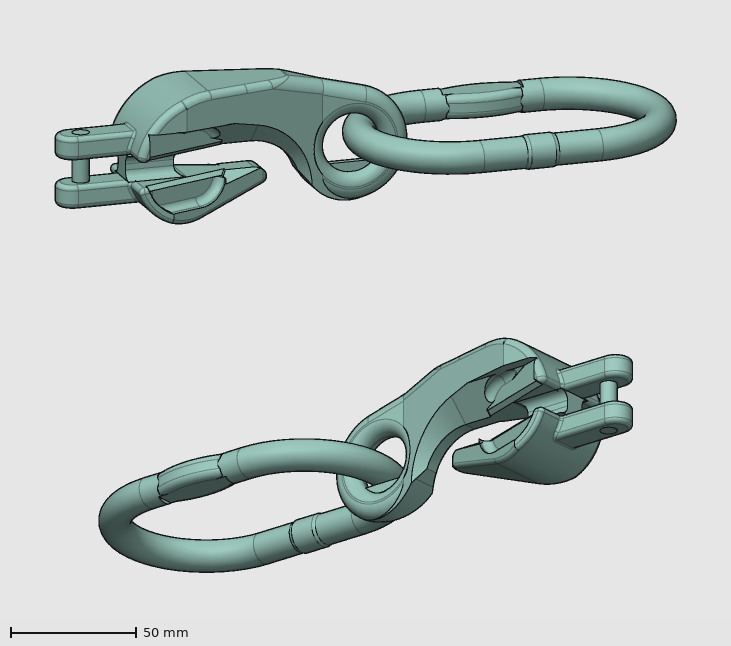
import cadquery as cq
import math

link_bar = 13.0
link_inner_width = 60.0
link_inner_length = 110.0
link_end_radius = (link_inner_width + link_bar) / 2
link_half_straight = (link_inner_length - link_inner_width) / 2
collar_diameter = 13.97
collar_length = 10.3
collar_taper_length = 1.5
tag_half_width = 9.065
tag_half_height = 5.1
tag_half_length = 17.0
tag_end_y = 16.0
tag_swell_half_length = 15.0
tag_edge_fillet = 3.1

eye_y = -67.0
eye_radius = 23.5
eye_hole_radius = 12.1
eye_thickness = 11.4
eye_fillet = 5.3
eye_foot_angle = math.radians(-146.5)
eye_web_top = -8.0
eye_web_thickness = 3.0

hook_width = 39.0
taper_start_y = -80.5
taper_end_y = -142.4
back_y = -163.3
hook_top = 31.49
top_slope = math.radians(14.5)
crown_center_y = -131.8
crown_radius = crown_center_y - back_y
crown_fillet = 3.0
back_fillet = 2.0

slot_half = 5.25
slot_end_y = -143.0
slot_end_fillet = 4.0
arch_y = -110.0
arch_radius = 21.0
arch_z = slot_half - arch_radius
arch_foot_angle = math.radians(20)
ridge_half_width = 3.0

lip_radius = 22.4
lip_center_y = back_y + lip_radius
lip_slope = math.radians(17.0)
lip_tip_y = -103.0
lip_tip_z = -10.5
lip_tip_half_width = 4.0
lip_tip_setback = 0.8
lip_plan_fillet = 3.5
lip_taper_end_y = -148.0
lip_nose_y = -109.2
lip_nose_radius = 6.4
lip_fillet = 1.8
lip_ridge_half_width = 4.5
lip_bevel_slope = math.radians(32)

pocket_start_y = -123.0
pocket_end_y = -158.0
pocket_half_height = 16.8
pocket_corner_radius = pocket_half_height - slot_half - 0.1
pocket_end_fillet = 3.0
pocket_root_fillet = 3.0
core_start_half_width = 5.5
core_end_half_width = 17.5
core_edge_chamfer = 1.8
lip_wall = 4.0

leg_width = 13.97
leg_top = 14.9
leg_start_y = -150.0
leg_end_y = -190.97
leg_edge_fillet = 2.0
leg_root_fillet = 1.2
web_waist_half_width = 4.6
web_groove_fillet = 4.0
web_foot_half_width = 8.5
pin_diameter = 7.0
pin_y = -180.6

hook_offset = (-0.3, 0, -0.1)
overlap = 5.0
near = 0.01


def block(x_range, y_range, z_range):
    """Box given by its lower and upper limit along each axis."""
    sizes = [high - low for low, high in (x_range, y_range, z_range)]
    corner = (x_range[0], y_range[0], z_range[0])
    return cq.Workplane("XY").box(*sizes, centered=False).translate(corner)


def on_circle(center_y, center_z, radius, angle):
    """Point (Y, Z) on a circle, with the angle measured from +Y towards +Z."""
    return (center_y + radius * math.cos(angle), center_z + radius * math.sin(angle))


def edges_where(shape, test):
    """Workplane holding the edges whose centre passes the test."""
    return shape.newObject([edge for edge in shape.edges().vals() if test(edge.Center())])


def make_link_bar():
    r, s = link_end_radius, link_half_straight
    path = (
        cq.Workplane("XY").moveTo(r, -s).lineTo(r, s).threePointArc((0, s + r), (-r, s))
        .lineTo(-r, -s).threePointArc((0, -s - r), (r, -s)).close()
    )
    section = cq.Workplane("XZ", origin=(r, -s, 0)).circle(link_bar / 2)
    return section.sweep(path)


def make_collar():
    bar_r, collar_r = link_bar / 2, collar_diameter / 2
    half = collar_length / 2
    end = half + collar_taper_length
    outline = [(0, -end), (bar_r, -end), (collar_r, -half), (collar_r, half), (bar_r, end), (0, end)]
    collar = cq.Workplane("XY").polyline(outline).close().revolve(360, (0, 0), (0, 1))
    return collar.translate((link_end_radius, 0, 0))


def make_tag():
    swell = tag_half_width - link_bar / 2
    radius = (tag_swell_half_length**2 + swell**2) / (2 * swell)
    end_y = tag_end_y
    end_x = tag_half_width - radius + math.sqrt(radius**2 - end_y**2)
    tag = (
        cq.Workplane("XY").moveTo(end_x, -end_y).threePointArc((tag_half_width, 0), (end_x, end_y))
        .lineTo(-end_x, end_y).threePointArc((-tag_half_width, 0), (-end_x, -end_y)).close()
        .extrude(tag_half_height, both=True)
    )
    tag = edges_where(tag, lambda c: abs(c.y) < near).fillet(tag_edge_fillet)
    return tag.translate((-link_end_radius, 0, 0))


def make_master_link():
    link = make_link_bar()
    x_range = (-link_end_radius - link_bar, -link_end_radius + link_bar)
    y_range = (-tag_half_length, tag_half_length)
    link = link.cut(block(x_range, y_range, (tag_half_height, link_bar)))
    link = link.cut(block(x_range, y_range, (-link_bar, -tag_half_height)))
    return link.union(make_collar()).union(make_tag())


def make_plan():
    """Plan of the eye and body, extruded tall enough to trim them."""
    side = [
        (eye_thickness / 2, eye_y + 2 * eye_radius),
        (eye_thickness / 2, taper_start_y),
        (hook_width / 2, taper_end_y),
        (hook_width / 2, back_y - overlap),
    ]
    other_side = [(-x, y) for x, y in reversed(side)]
    return cq.Workplane("XY").polyline(side + other_side).close().extrude(2 * hook_top, both=True)


def make_body():
    """Eye and arched body, flat along the slot, with rounded outer edges."""
    slope_start = on_circle(eye_y, 0, eye_radius, math.pi / 2 - top_slope)
    crest_y = slope_start[0] - (hook_top - slope_start[1]) / math.tan(top_slope)
    crown_z = hook_top - crown_radius
    back_at_slot = crown_center_y - math.sqrt(crown_radius**2 - (slot_half - crown_z) ** 2)
    body = (
        cq.Workplane("YZ").moveTo(*slope_start).lineTo(crest_y, hook_top)
        .lineTo(crown_center_y, hook_top)
        .threePointArc(
            on_circle(crown_center_y, crown_z, crown_radius, math.radians(135)),
            (back_at_slot, slot_half),
        )
        .lineTo(arch_y, slot_half)
        .threePointArc(
            on_circle(arch_y, arch_z, arch_radius, math.radians(50)),
            on_circle(arch_y, arch_z, arch_radius, arch_foot_angle),
        )
        .lineTo(*on_circle(eye_y, 0, eye_radius, eye_foot_angle))
        .threePointArc(on_circle(eye_y, 0, eye_radius, math.radians(-35)), slope_start)
        .close().extrude(hook_width, both=True)
    )
    body = body.intersect(make_plan())
    return round_body(body, crest_y)


def round_body(body, crest_y):
    """Rounds the eye and the rising edges fully, and the crown edges less."""
    half_eye = eye_thickness / 2

    def on_eye_or_slope(c):
        rim = c.y > taper_start_y + half_eye and abs(abs(c.x) - half_eye) < near
        slope = c.z > eye_radius and c.y > crest_y
        return abs(c.x) > 1 and (rim or slope)

    def on_crown(c):
        at_taper_end = abs(c.y - taper_end_y) < near
        return abs(c.x) > eye_thickness and c.z > hook_top / 2 and not at_taper_end

    body = edges_where(body, on_eye_or_slope).fillet(eye_fillet)
    body = edges_where(body, on_crown).fillet(crown_fillet)
    return round_back(body)


def round_back(half):
    """Rounds the edge between the back of the hook and the slot."""

    def on_back(c):
        return abs(c.x) < 1 and abs(abs(c.z) - slot_half) < near and c.y < pocket_end_y

    return edges_where(half, on_back).fillet(back_fillet)


def cut_eye_hole(body):
    """Opens the eye with a rounded rim, leaving a thin web across its lowest part."""
    half = eye_thickness / 2
    hole = (
        cq.Workplane("YZ").center(eye_y, 0).circle(eye_hole_radius).extrude(half, both=True)
    )
    rim = (
        cq.Workplane("XY")
        .moveTo(half + overlap, 0).lineTo(half + overlap, eye_hole_radius + eye_fillet)
        .lineTo(half, eye_hole_radius + eye_fillet)
        .radiusArc((half - eye_fillet, eye_hole_radius), eye_fillet)
        .lineTo(half - eye_fillet, 0)
        .close().revolve(360, (0, 0), (1, 0)).translate((0, eye_y, 0))
    )
    web = block(
        (-eye_web_thickness / 2, eye_web_thickness / 2),
        (eye_y - eye_hole_radius, eye_y + eye_hole_radius),
        (-eye_hole_radius, eye_web_top),
    )
    opening = hole.union(rim).union(rim.mirror("YZ"))
    return body.cut(opening.cut(web))


def arch_relief():
    """Cutter that slopes the underside of the arch up towards both sides."""
    rise = pocket_half_height - slot_half
    outer_x = hook_width / 2 + overlap
    section = [
        (ridge_half_width, 0),
        (ridge_half_width, arch_radius),
        (ridge_half_width + rise, arch_radius + rise),
        (outer_x, arch_radius + rise),
        (outer_x, 0),
    ]
    cone = cq.Workplane("XY").polyline(section).close().revolve(360, (0, 0), (1, 0))
    run = cq.Workplane("XZ").polyline(section).close().extrude(arch_y - pocket_end_y)
    relief = cone.union(run).translate((0, arch_y, arch_z))
    return relief.union(relief.mirror("YZ")).cut(make_core())


def make_lip():
    """Lower lip of the hook, with a bevelled slot side and rounded lower edges."""
    tangent = on_circle(lip_center_y, 0, lip_radius, lip_slope - math.pi / 2)
    tip_low_y = lip_tip_y - lip_tip_setback
    tip_low_z = tangent[1] + (tip_low_y - tangent[0]) * math.tan(lip_slope)
    back_at_slot = lip_center_y - math.sqrt(lip_radius**2 - slot_half**2)
    lip = (
        cq.Workplane("YZ").moveTo(lip_nose_y, -slot_half)
        .radiusArc((lip_tip_y, lip_tip_z), lip_nose_radius)
        .lineTo(tip_low_y, tip_low_z)
        .lineTo(*tangent)
        .threePointArc(
            on_circle(lip_center_y, 0, lip_radius, math.radians(-125)),
            (back_at_slot, -slot_half),
        )
        .close().extrude(hook_width, both=True)
    )
    lip = lip.intersect(lip_plan())

    def on_bottom(c):
        return abs(c.x) > 1 and c.z < lip_tip_z - 1 and abs(c.y - lip_taper_end_y) > near

    lip = edges_where(lip, on_bottom).fillet(lip_fillet)
    lip = round_back(lip)
    bevel = lip_bevel()
    return lip.cut(bevel).cut(bevel.mirror("YZ"))


def lip_plan():
    """Plan of the lip: a rounded nose that widens to the full hook width."""
    right_side = [
        (lip_tip_half_width, lip_tip_y),
        (hook_width / 2, lip_taper_end_y),
        (hook_width / 2, back_y - overlap),
    ]
    left_side = [(-x, y) for x, y in reversed(right_side)]
    plan = cq.Workplane("XY").polyline(right_side + left_side).close().extrude(-hook_top)
    return plan.edges("|Z and >Y").fillet(lip_plan_fillet)


def lip_bevel():
    """Wedge that slopes the slot side of the lip down towards +X."""
    outer_x = hook_width / 2 + overlap
    outer_z = -slot_half - (outer_x - lip_ridge_half_width) * math.tan(lip_bevel_slope)
    section = [(lip_ridge_half_width, -slot_half), (outer_x, outer_z), (outer_x, -slot_half)]
    wedge = cq.Workplane("XZ").polyline(section).close().extrude(lip_tip_y - pocket_start_y + overlap)
    return wedge.translate((0, lip_tip_y + overlap, 0))


def pocket_plan():
    """Plan of the pocket on the +X side; its floor follows the tapered core of the hook."""
    return cq.Workplane("XY").workplane(offset=slot_half).polyline([
        (core_start_half_width, pocket_start_y),
        (core_end_half_width, pocket_end_y),
        (hook_width, pocket_end_y),
        (hook_width, pocket_start_y),
    ]).close()


def side_pocket():
    """Upper pocket on the +X side, with a chamfered mouth along the slot."""
    pocket = pocket_plan().extrude(pocket_half_height - slot_half)
    pocket = pocket.edges(">Z and >Y").fillet(pocket_corner_radius)
    pocket = pocket.edges(">Z and <Y").fillet(pocket_end_fillet)
    pocket = pocket.faces("<X").edges(">Z").fillet(pocket_root_fillet)
    mouth = pocket_plan().offset2D(core_edge_chamfer, "intersection").extrude(core_edge_chamfer, taper=45)
    return pocket.union(mouth)


def make_core():
    """Tapered core between the pockets, spared from the arch relief."""
    right_side = [(core_start_half_width, pocket_start_y), (core_end_half_width, pocket_end_y)]
    left_side = [(-x, y) for x, y in reversed(right_side)]
    return cq.Workplane("XY").polyline(right_side + left_side).close().extrude(hook_top)


def body_pockets():
    pocket = side_pocket()
    return pocket.union(pocket.mirror("YZ"))


def lip_pockets():
    """Mirror image of the body pockets, kept inside the round back of the lip."""
    core = (
        cq.Workplane("YZ").center(lip_center_y, 0).circle(lip_radius - lip_wall)
        .extrude(hook_width, both=True)
    )
    front = block((-hook_width, hook_width), (lip_center_y, 0), (-hook_width, 0))
    return body_pockets().mirror("XY").intersect(core.union(front))


def make_leg():
    """Upper clevis leg, starting inside the hook and ending in a round."""
    half = leg_width / 2
    center_y = leg_end_y + half
    leg = (
        cq.Workplane("XY").moveTo(half, leg_start_y).lineTo(half, center_y)
        .threePointArc((0, leg_end_y), (-half, center_y)).lineTo(-half, leg_start_y)
        .close().extrude(leg_top - slot_half).translate((0, 0, slot_half))
    )
    return leg.faces("|Z").edges().fillet(leg_edge_fillet)


def make_web():
    """Waisted web that closes the slot and joins both halves of the hook."""
    foot = web_foot_half_width
    web = block((-foot, foot), (back_y, slot_end_y + slot_end_fillet), (-slot_half, slot_half))
    slot = block((-foot, foot), (slot_end_y, lip_tip_y), (-slot_half, slot_half))
    web = web.cut(slot.edges("|X and <Y").fillet(slot_end_fillet))
    groove = block((web_waist_half_width, hook_width), (back_y, lip_tip_y), (-slot_half, slot_half))
    groove = groove.edges("|Y and <X").fillet(web_groove_fillet)
    return web.cut(groove).cut(groove.mirror("YZ"))


def add_leg(half, leg):
    """Joins a leg to the body or the lip, with a fillet where it leaves the back."""

    def on_root(c):
        beside = abs(c.x) < leg_width / 2 + near and slot_half + near < abs(c.z) < leg_top + near
        return beside and back_y < c.y < pocket_end_y

    return edges_where(half.union(leg), on_root).fillet(leg_root_fillet)


def make_hook():
    body = cut_eye_hole(make_body()).cut(arch_relief()).cut(body_pockets())
    lip = make_lip().cut(lip_pockets())
    leg = make_leg()
    hook = add_leg(body, leg).union(add_leg(lip, leg.mirror("XY"))).union(make_web())
    return hook.cut(make_pin()).translate(hook_offset)


def make_pin():
    """Round pin through both legs, flush with their outer faces."""
    pin = cq.Workplane("XY").center(0, pin_y).circle(pin_diameter / 2).extrude(2 * leg_top)
    return pin.translate((0, 0, -leg_top))


master_link = make_master_link()
hook = make_hook()
pin = make_pin().translate(hook_offset)
result = cq.Compound.makeCompound([master_link.val(), hook.val(), pin.val()])